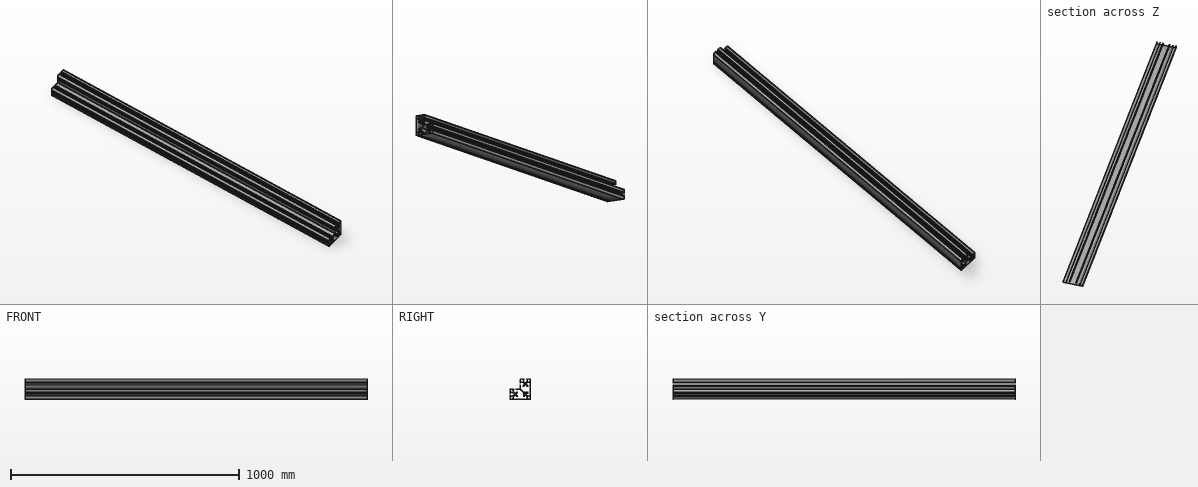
import cadquery as cq

LENGTH = 1500.0
MODULE = 45.0
SIDE = 2 * MODULE
HALF = MODULE / 2

WALL = 1.8
WALL_MIDDLE = HALF - WALL / 2
OUTER_RADIUS = 2.1
HOLLOW_RADIUS = 3.2
INNER_RADIUS = 2.0

CORE_HALF = 5.5
CHANNEL_DIAMETER = 7.2

SLOT_MOUTH = 8.2
SLOT_HALF_OUTER = 9.2
SLOT_HALF_INNER = 4.2

BOX_HALF_OUTER = 10.8
BOX_HALF_INNER = 6.3

LEG_REACH = 10.8
LEG_ROOT = 6.2
BAR_TOP = 8.8
WEB_HALF_DIAGONAL = 2.0

CORNER_CELL = (HALF, HALF)
UPPER_CELL = (HALF, SIDE - HALF)
SIDE_CELL = (SIDE - HALF, HALF)
CELLS = (CORNER_CELL, UPPER_CELL, SIDE_CELL)

BOXES = (
    (CORNER_CELL, (-1, -1)),
    (UPPER_CELL, (-1, 1)),
    (UPPER_CELL, (1, 1)),
    (SIDE_CELL, (1, -1)),
    (SIDE_CELL, (1, 1)),
)
LEGS = (
    (UPPER_CELL, (-1, -1)),
    (UPPER_CELL, (1, -1)),
    (SIDE_CELL, (-1, -1)),
    (SIDE_CELL, (-1, 1)),
)
SLOTS = (
    (UPPER_CELL, (0, 1)),
    (UPPER_CELL, (1, 0)),
    (SIDE_CELL, (0, 1)),
    (SIDE_CELL, (1, 0)),
)


def prism(points):
    """Extrude a closed (p, q) polygon over the full length."""
    outline = [(-p, q) for p, q in points]
    return cq.Workplane("YZ").polyline(outline).close().extrude(LENGTH)


def placed(points, cell, direction=(1, 1)):
    """Extrude a polygon given relative to a cell centre, mirrored into a quadrant."""
    return prism([(cell[0] + direction[0] * p, cell[1] + direction[1] * q) for p, q in points])


def rectangle(p_low, p_high, q_low, q_high):
    return [(p_low, q_low), (p_high, q_low), (p_high, q_high), (p_low, q_high)]


def l_outline(inset):
    low = inset
    high = SIDE - inset
    step = MODULE - inset
    return [(low, low), (high, low), (high, step), (step, step), (step, high), (low, high)]


def fillet_corners(solid, corners, radius):
    """Round the lengthwise edges that pass through the given (p, q) corners."""
    for p, q in corners:
        edge = cq.selectors.NearestToPointSelector((LENGTH / 2, -p, q))
        solid = solid.edges("|X").edges(edge).fillet(radius)
    return solid


def shell():
    """L-shaped tube with rounded lengthwise edges."""
    outer = l_outline(0)
    concave = (MODULE, MODULE)
    outside = fillet_corners(prism(outer), [c for c in outer if c != concave], OUTER_RADIUS)
    outside = fillet_corners(outside, [concave], INNER_RADIUS)
    return outside.cut(prism(l_outline(WALL)))


def box_block(cell, direction):
    """Solid corner of a cell, bounded by the slanted sides of the two slots next to it."""
    outline = [
        (SLOT_HALF_OUTER, WALL_MIDDLE),
        (SLOT_HALF_INNER, CORE_HALF),
        (0, CORE_HALF),
        (0, 0),
        (CORE_HALF, 0),
        (CORE_HALF, SLOT_HALF_INNER),
        (WALL_MIDDLE, SLOT_HALF_OUTER),
        (WALL_MIDDLE, WALL_MIDDLE),
    ]
    return placed(outline, cell, direction)


def box_hollow(cell, direction):
    """Rounded hollow inside a solid corner of a cell."""
    face = HALF - WALL
    outline = [
        (face, face),
        (BOX_HALF_OUTER, face),
        (BOX_HALF_INNER, BOX_HALF_INNER),
        (face, BOX_HALF_OUTER),
    ]
    return placed(outline, cell, direction).edges("|X").fillet(HOLLOW_RADIUS)


def leg(cell, direction):
    """Square-ended diagonal leg that guides the free side of two slots."""
    outline = [
        (0, 0),
        (CORE_HALF, 0),
        (CORE_HALF, SLOT_HALF_INNER),
        (LEG_REACH, LEG_ROOT),
        (LEG_REACH, LEG_REACH),
        (LEG_ROOT, LEG_REACH),
        (SLOT_HALF_INNER, CORE_HALF),
        (0, CORE_HALF),
    ]
    return placed(outline, cell, direction)


def slot_mouth(cell, outward):
    """Opening in the outer wall, centred on a cell."""
    half_width = SLOT_MOUTH / 2
    if outward == (1, 0):
        outline = rectangle(HALF - WALL, HALF, -half_width, half_width)
    else:
        outline = rectangle(-half_width, half_width, HALF - WALL, HALF)
    return placed(outline, cell)


body = shell()
for cell in CELLS:
    body = body.union(placed(rectangle(-CORE_HALF, CORE_HALF, -CORE_HALF, CORE_HALF), cell))
for cell, direction in BOXES:
    body = body.union(box_block(cell, direction)).cut(box_hollow(cell, direction))
for cell, direction in LEGS:
    body = body.union(leg(cell, direction))

body = body.union(placed(rectangle(-LEG_REACH, BAR_TOP, SLOT_HALF_INNER, BAR_TOP), CORNER_CELL))
body = body.union(placed(rectangle(SLOT_HALF_INNER, BAR_TOP, -LEG_REACH, BAR_TOP), CORNER_CELL))
web_root = BAR_TOP - WEB_HALF_DIAGONAL
web_end = HALF - WALL
web = [
    (web_root, web_root),
    (BAR_TOP, web_root),
    (web_end + WEB_HALF_DIAGONAL, web_end),
    (web_end, web_end + WEB_HALF_DIAGONAL),
    (web_root, BAR_TOP),
]
body = body.union(placed(web, CORNER_CELL))

for cell, direction in SLOTS:
    body = body.cut(slot_mouth(cell, direction))

channels = (
    cq.Workplane("YZ")
    .pushPoints([(-p, q) for p, q in CELLS])
    .circle(CHANNEL_DIAMETER / 2)
    .extrude(LENGTH)
)
result = body.cut(channels)